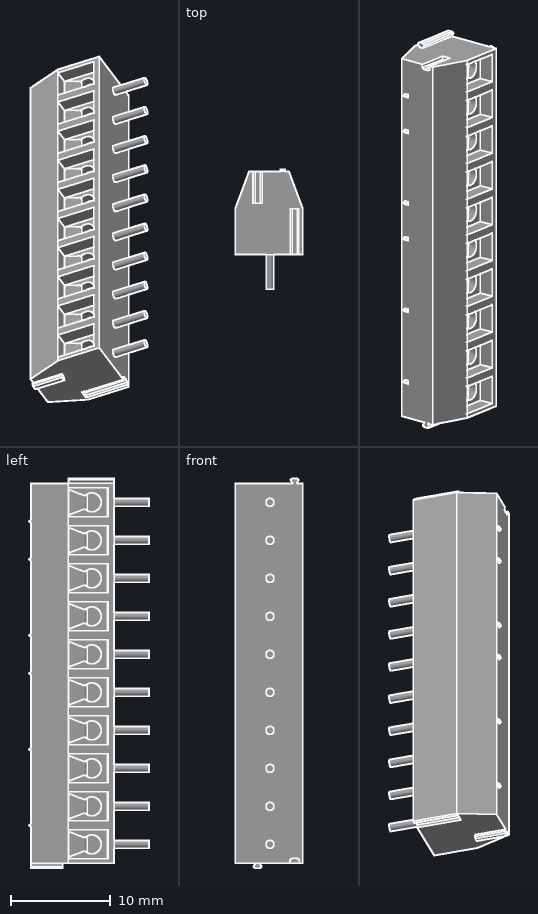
import cadquery as cq
import math

POLES = 10
PITCH = 3.81
HEIGHT = POLES * PITCH
WIDTH = 6.8
DEPTH = 8.35
CREST_WIDTH = 4.0
SHOULDER_Y = 4.6

PIN_X = 0.1
PIN_DIAMETER = 0.8
PIN_LENGTH = 3.5
PIN_EMBED = 0.5

POCKET_DEPTH = 1.5
POCKET_HEIGHT = 2.9
POCKET_SILL_Y = 0.6
POCKET_SILL_RISE = 0.1
POCKET_BACK_X = -WIDTH / 2 + POCKET_DEPTH

WIRE_HOLE_DIAMETER = 1.9
WIRE_HOLE_DEPTH = 1.0
WIRE_HOLE_Y = 2.25

GUARD_THICKNESS = 0.27
GUARD_BEND_RADIUS = 0.35
GUARD_TIP_Y = 2.7
GUARD_ROOT_WIDTH = 2.6
GUARD_SHOULDER_WIDTH = 2.15
GUARD_NECK_WIDTH = 1.4
GUARD_TOP_BEND_LENGTH = 0.55
GUARD_TOP_BEND_Y = SHOULDER_Y - GUARD_TOP_BEND_LENGTH
GUARD_TIP_BEND_Y = GUARD_TIP_Y + GUARD_BEND_RADIUS

RAIL_HEIGHT = 0.5
RAIL_WIDEST_HEIGHT = 0.35
RAIL_WIDTHS = (0.45, 0.85, 0.5)
GROOVE_WIDTHS = (0.9, 0.95, 0.5)
UPPER_RAIL_X = 2.57
LOWER_RAIL_X = -1.15
LOWER_RAIL_LENGTH = 3.2

MARK_X = 1.37
MARK_LENGTH = 0.48
MARK_BASE = 0.35
MARK_HEIGHT = 0.2
MARK_JOINTS = (1, 3, 5, 6, 8, 9)


def pole_z(index):
    """Height of the centre of one terminal."""
    return (index + 0.5) * PITCH


def housing():
    half_width = WIDTH / 2
    half_crest = CREST_WIDTH / 2
    outline = [
        (-half_width, 0),
        (half_width, 0),
        (half_width, SHOULDER_Y),
        (half_crest, DEPTH),
        (-half_crest, DEPTH),
        (-half_width, SHOULDER_Y),
    ]
    return cq.Workplane("XY").polyline(outline).close().extrude(HEIGHT)


def pin(z):
    return (
        cq.Workplane("XZ", origin=(PIN_X, PIN_EMBED, z))
        .circle(PIN_DIAMETER / 2)
        .extrude(PIN_EMBED + PIN_LENGTH)
    )


def wire_pocket(z):
    """Pocket whose sill rises slightly towards the back wall."""
    front_x = -WIDTH / 2
    profile = [
        (front_x, POCKET_SILL_Y),
        (POCKET_BACK_X, POCKET_SILL_Y + POCKET_SILL_RISE),
        (POCKET_BACK_X, SHOULDER_Y),
        (front_x, SHOULDER_Y),
    ]
    return (
        cq.Workplane("XY", origin=(0, 0, z - POCKET_HEIGHT / 2))
        .polyline(profile)
        .close()
        .extrude(POCKET_HEIGHT)
    )


def wire_hole(z):
    return (
        cq.Workplane("YZ", origin=(POCKET_BACK_X, WIRE_HOLE_Y, z))
        .circle(WIRE_HOLE_DIAMETER / 2)
        .extrude(WIRE_HOLE_DEPTH)
    )


def wire_guard(z):
    """Bent strip trimmed to a plan that tapers from its root to its neck."""
    face_x = POCKET_BACK_X - GUARD_THICKNESS
    inner_x = face_x + GUARD_BEND_RADIUS
    diagonal = GUARD_BEND_RADIUS * math.sqrt(0.5)
    bend_middle = (inner_x - diagonal, GUARD_TIP_BEND_Y - diagonal)
    top_middle = (
        inner_x - diagonal,
        GUARD_TOP_BEND_Y + GUARD_TOP_BEND_LENGTH * math.sqrt(0.5),
    )
    strip = (
        cq.Workplane("XY", origin=(0, 0, z - GUARD_ROOT_WIDTH / 2))
        .moveTo(inner_x, SHOULDER_Y)
        .threePointArc(top_middle, (face_x, GUARD_TOP_BEND_Y))
        .lineTo(face_x, GUARD_TIP_BEND_Y)
        .threePointArc(bend_middle, (inner_x, GUARD_TIP_Y))
        .close()
        .extrude(GUARD_ROOT_WIDTH)
    )
    half_plan = [
        (SHOULDER_Y, GUARD_ROOT_WIDTH / 2),
        (GUARD_TOP_BEND_Y, GUARD_SHOULDER_WIDTH / 2),
        (GUARD_TIP_BEND_Y, GUARD_NECK_WIDTH / 2),
        (GUARD_TIP_Y, GUARD_NECK_WIDTH / 2),
    ]
    mirrored = [(y, -half) for y, half in reversed(half_plan)]
    plan = (
        cq.Workplane("YZ", origin=(face_x, 0, z))
        .polyline(half_plan + mirrored)
        .close()
        .extrude(GUARD_BEND_RADIUS)
    )
    return strip.intersect(plan)


def dovetail(x, start_y, end_y, widths):
    """Bar on the Z = 0 plane that widens from its neck, then narrows to its tip."""
    neck, widest, tip = widths
    half_profile = [
        (neck / 2, 0),
        (widest / 2, RAIL_WIDEST_HEIGHT),
        (tip / 2, RAIL_HEIGHT),
    ]
    mirrored = [(-half, height) for half, height in reversed(half_profile)]
    return (
        cq.Workplane("XZ", origin=(x, end_y, 0))
        .polyline(half_profile + mirrored)
        .close()
        .extrude(end_y - start_y)
    )


def pin_side_bar(widths):
    return dovetail(UPPER_RAIL_X, 0, SHOULDER_Y, widths)


def crest_side_bar(widths):
    """Bar hanging below the Z = 0 plane."""
    bar = dovetail(LOWER_RAIL_X, DEPTH - LOWER_RAIL_LENGTH, DEPTH, widths)
    return bar.mirror("XY")


def mark(z):
    """Triangular ridge running along X on the +Y face."""
    return (
        cq.Workplane("YZ", origin=(MARK_X - MARK_LENGTH / 2, DEPTH, z))
        .moveTo(0, -MARK_BASE / 2)
        .lineTo(MARK_HEIGHT, 0)
        .lineTo(0, MARK_BASE / 2)
        .close()
        .extrude(MARK_LENGTH)
    )


result = housing()

to_upper_end = (0, 0, HEIGHT)
result = result.union(pin_side_bar(RAIL_WIDTHS).translate(to_upper_end))
result = result.cut(pin_side_bar(GROOVE_WIDTHS))
result = result.union(crest_side_bar(RAIL_WIDTHS))
result = result.cut(crest_side_bar(GROOVE_WIDTHS).translate(to_upper_end))

for index in range(POLES):
    z = pole_z(index)
    result = result.cut(wire_pocket(z)).cut(wire_hole(z))
    result = result.union(wire_guard(z)).union(pin(z))

for joint in MARK_JOINTS:
    result = result.union(mark(joint * PITCH))